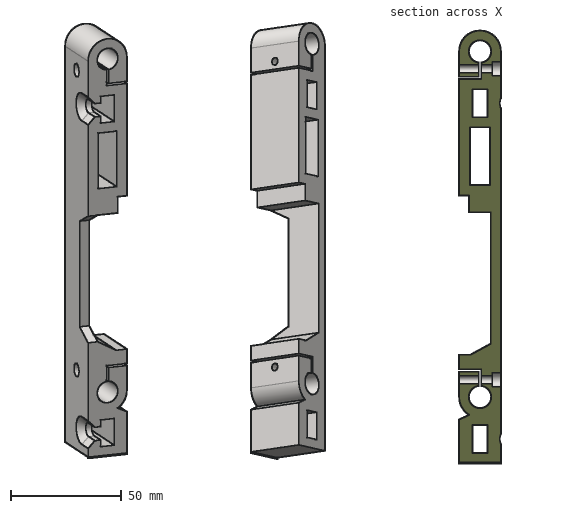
import cadquery as cq

width = 28.0
depth = 19.0
height = 196.8
mid_depth = depth / 2
end_radius = depth / 2

rod_diameter = 10.0
upper_rod_z = height - end_radius
lower_rod_z = 30.3
slit_width = 1.0
slit_reach = 12.0
screw_x = width / 2
screw_offset = 7.9
screw_diameter = 3.3
screw_head_diameter = 6.1
screw_head_depth = 4.0

waist_bottom = 54.5
waist_top = 114.2
waist_depth = 4.7
waist_width = 17.7
side_ramp = 5.0

step_top = 121.8
step_y = depth - 4.5
ramp_bottom = 49.6
ramp_y = 13.8

notch_y = 14.5
notch_z = lower_rod_z - (end_radius**2 - (notch_y - mid_depth)**2) ** 0.5
notch_bottom = 20.0

tie_window_depth = 6.7
tie_window_height = 12.5
tie_window_levels = (163.8, 11.2)
large_window_depth = 9.0
large_window_height = 26.2
large_window_z = 139.8

slot_end_x = 20.0
slot_outer_radius = 6.5
slot_inner_radius = 3.1
flare_depth = slot_outer_radius - slot_inner_radius

lip_height = 0.5
lip_thickness = 0.2


def make_body():
    """Side outline in YZ, extruded across the width."""
    chord_y = (depth + notch_y) / 2 - mid_depth
    chord_z = (notch_z - lower_rod_z) / 2
    reach = end_radius / (chord_y**2 + chord_z**2) ** 0.5
    notch_arc_middle = (mid_depth + chord_y * reach, lower_rod_z + chord_z * reach)
    return (
        cq.Workplane("YZ")
        .moveTo(0, lip_height)
        .lineTo(0, upper_rod_z)
        .threePointArc((mid_depth, height), (depth, upper_rod_z))
        .lineTo(depth, step_top)
        .lineTo(step_y, step_top)
        .lineTo(step_y, waist_top)
        .lineTo(waist_depth, waist_top)
        .lineTo(waist_depth, waist_bottom)
        .lineTo(ramp_y, ramp_bottom)
        .lineTo(depth, ramp_bottom)
        .lineTo(depth, lower_rod_z)
        .threePointArc(notch_arc_middle, (notch_y, notch_z))
        .lineTo(depth, notch_bottom)
        .lineTo(depth, lip_height)
        .close()
        .extrude(width)
    )


def cross_box(y_low, y_high, z_low, z_high):
    """Box over the full width, between the given depths and heights."""
    box = cq.Workplane("XY").box(width, y_high - y_low, z_high - z_low, centered=False)
    return box.translate((0, y_low, z_low))


def window(size_y, size_z, z):
    return cross_box(mid_depth - size_y / 2, mid_depth + size_y / 2, z - size_z / 2, z + size_z / 2)


def front_hole(diameter, length, z):
    """Cylinder running back from the front face."""
    return cq.Workplane("XZ").center(screw_x, z).circle(diameter / 2).extrude(-length)


def rod_clamp(rod_z, side):
    """Rod bore, L-shaped slit to the back and screw; side is 1 above the bore, -1 below."""
    slit_z = rod_z + side * slit_reach
    screw_z = rod_z + side * screw_offset
    half_slit = slit_width / 2
    bore = cq.Workplane("YZ").center(mid_depth, rod_z).circle(rod_diameter / 2).extrude(width)
    upright = cross_box(mid_depth - half_slit, mid_depth + half_slit, min(rod_z, slit_z), max(rod_z, slit_z))
    crosswise = cross_box(mid_depth - half_slit, depth, slit_z - half_slit, slit_z + half_slit)
    screw = front_hole(screw_diameter, depth, screw_z)
    head = front_hole(screw_head_diameter, screw_head_depth, screw_z)
    return bore.union(upright).union(crosswise).union(screw).union(head)


def flared_slot(z):
    """Round-ended slot open to the right, narrowing inwards until it meets the tie window."""
    straight = (
        cq.Workplane("XZ")
        .moveTo(width, z - slot_inner_radius)
        .lineTo(slot_end_x, z - slot_inner_radius)
        .threePointArc((slot_end_x - slot_inner_radius, z), (slot_end_x, z + slot_inner_radius))
        .lineTo(width, z + slot_inner_radius)
        .close()
        .extrude(-mid_depth)
    )
    cone = (
        cq.Workplane("XY")
        .polyline([(0, 0), (slot_outer_radius, 0), (slot_inner_radius, flare_depth), (0, flare_depth)])
        .close()
        .revolve(360, (0, 0), (0, 1))
        .translate((slot_end_x, 0, z))
    )
    trough = (
        cq.Workplane("YZ", origin=(slot_end_x, 0, z))
        .polyline([
            (0, -slot_outer_radius),
            (0, slot_outer_radius),
            (flare_depth, slot_inner_radius),
            (flare_depth, -slot_inner_radius),
        ])
        .close()
        .extrude(width - slot_end_x)
    )
    return straight.union(cone).union(trough)


def side_recess():
    """Trapezoid cut from the right side along the waist."""
    return (
        cq.Workplane("XZ")
        .polyline([
            (width, waist_bottom),
            (waist_width, waist_bottom + side_ramp),
            (waist_width, waist_top - side_ramp),
            (width, waist_top),
        ])
        .close()
        .extrude(-depth)
    )


lip = (
    cq.Workplane("XY")
    .box(lip_thickness, depth, 2 * lip_height, centered=False)
    .translate((width - lip_thickness, 0, 0))
)

result = make_body().union(lip)
result = result.cut(side_recess())
result = result.cut(rod_clamp(upper_rod_z, -1))
result = result.cut(rod_clamp(lower_rod_z, 1))
result = result.cut(window(large_window_depth, large_window_height, large_window_z))
for level in tie_window_levels:
    result = result.cut(window(tie_window_depth, tie_window_height, level))
    result = result.cut(flared_slot(level))